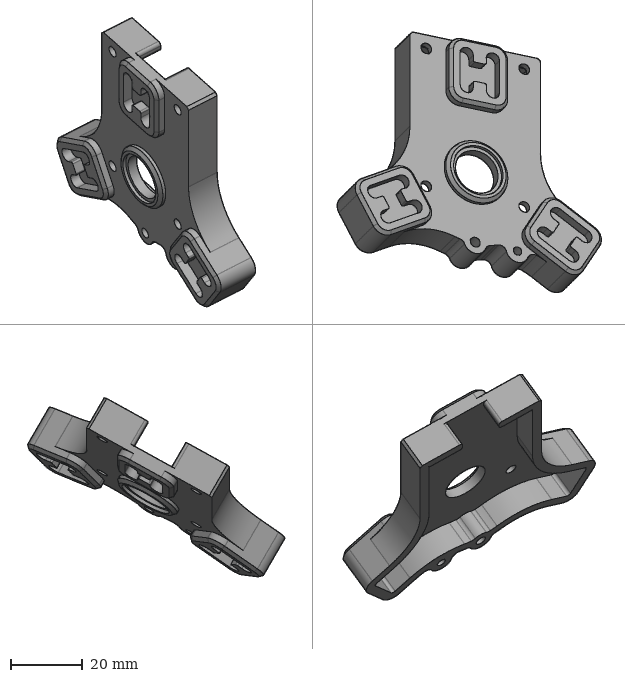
import math

import cadquery as cq

BODY_DEPTH = 10.0
HALF_WIDTH = 20.0
TOP_Z = 40.0
TOP_CHAMFER = 0.8
HUB_RADIUS = 22.0
OUTLINE_BLEND = 20.0

PAD_WIDTH = 18.0
PAD_LENGTH = 20.0
PAD_HEIGHT = 3.0
PAD_CORNER = 4.0
PAD_CHAMFER = 1.0
PAD_CENTRE = TOP_Z - PAD_LENGTH / 2
ARM_ANGLES = (120, -120)
PAD_ANGLES = (0,) + ARM_ANGLES

SLOT_WIDTH = 4.0
SLOT_LENGTH = 14.0
SLOT_OFFSET = SLOT_WIDTH
CROSSBAR_HEIGHT = 6.0
RECESS_CORNER = 0.5
RECESS_DEPTH = PAD_HEIGHT

RING_DIAMETER = 19.0
RING_HEIGHT = 2.0
RING_CHAMFER = 1.0
SEAT_DIAMETER = 15.1
SEAT_DEPTH = 1.0
BORE_DIAMETER = 13.0

SCREW_DIAMETER = 3.2
SCREW_X = 15.0
SCREW_UPPER_Z = 35.75
SCREW_PITCH_Z = 43.0
LOBE_RADIUS = 3.5
LOBE_Z = -21.5
LOBE_HOLES = ((0.0, 3.0), (12.95, 2.53))
LOBE_BLEND = 2.0

WALL = 3.0
FLOOR = 2.0
CAVITY_BLEND = 2.0
GAP_WIDTH = 12.0
GAP_ROUND = 1.0

SCREW_POINTS = [
    (x, z)
    for x in (-SCREW_X, SCREW_X)
    for z in (SCREW_UPPER_Z, SCREW_UPPER_Z - SCREW_PITCH_Z)
]


def plane_at(y):
    """Sketch plane parallel to XZ at the given Y; negative extrusion runs toward +Y."""
    return cq.Workplane("XZ", origin=(0, y, 0))


def block(x0, x1, z0, z1, y0, y1):
    """Box between the given limits."""
    size = (x1 - x0, y1 - y0, z1 - z0)
    return cq.Workplane("XY").box(*size, centered=False).translate((x0, y0, z0))


def cylinder(x, z, radius, y0, y1):
    """Cylinder along Y."""
    return plane_at(y0).center(x, z).circle(radius).extrude(y0 - y1)


def turned(shape, angle):
    """Shape turned about the bore axis."""
    return shape.rotate((0, 0, 0), (0, 1, 0), angle)


def near(x, z, reach):
    """Selects edges whose centre lies within reach of a point, at any depth."""
    low = (x - reach, -BODY_DEPTH, z - reach)
    high = (x + reach, 2 * BODY_DEPTH, z + reach)
    return cq.selectors.BoxSelector(low, high)


def make_arm(angle, inset, y0):
    """Arm from the bore axis out to the outer end of a pad."""
    half = PAD_WIDTH / 2 - inset
    arm = block(-half, half, 0, TOP_Z - inset, y0, BODY_DEPTH)
    arm = arm.edges("|Y and >Z").fillet(PAD_CORNER - inset)
    return turned(arm, angle)


def make_outline(inset, y0):
    """Upper plate, hub, two arms and the blends between them, from Y = y0 to the back.

    The whole outline is drawn in by the inset, with concentric blends.
    """
    half_plate = HALF_WIDTH - inset
    half_arm = PAD_WIDTH / 2 - inset
    hub_radius = HUB_RADIUS - inset
    tilt = math.radians(ARM_ANGLES[0] - 90)
    flare_z = half_arm / math.cos(tilt) - half_plate * math.tan(tilt)
    hub_reach = math.sqrt(hub_radius**2 - half_arm**2)
    hub_x = hub_reach * math.cos(tilt) - half_arm * math.sin(tilt)
    hub_z = -hub_reach * math.sin(tilt) - half_arm * math.cos(tilt)
    split_z = -half_plate * math.tan(tilt)

    outline = block(-half_plate, half_plate, split_z, TOP_Z - inset, y0, BODY_DEPTH)
    hub = cylinder(0, 0, hub_radius, y0, BODY_DEPTH)
    below = block(-hub_radius, hub_radius, -hub_radius, split_z, y0, BODY_DEPTH)
    outline = outline.union(hub.intersect(below))
    for angle in ARM_ANGLES:
        outline = outline.union(make_arm(angle, inset, y0))
    outline = outline.clean()
    for side in (-1, 1):
        for x, z in ((half_plate, flare_z), (hub_x, hub_z)):
            corner = near(side * x, z, 1)
            outline = outline.edges("|Y").edges(corner).fillet(OUTLINE_BLEND + inset)
    return outline


def make_body():
    """Solid body with the upper corners cut off."""
    body = make_outline(0, 0)
    return body.edges("|Y and >Z").chamfer(TOP_CHAMFER)


def add_lobes(body):
    """Rounded screw lobes on the lower edge, blended into it."""
    for x, _ in LOBE_HOLES:
        body = body.union(cylinder(x, LOBE_Z, LOBE_RADIUS, 0, BODY_DEPTH))
        root = near(x, LOBE_Z, LOBE_RADIUS + 0.1)
        body = body.edges("|Y").edges(root).fillet(LOBE_BLEND)
    return body


def make_cavity():
    """Space behind the plate, leaving the walls and a boss round the middle lobe hole."""
    cavity = make_outline(WALL, FLOOR)
    boss_x = LOBE_HOLES[0][0]
    cavity = cavity.cut(cylinder(boss_x, LOBE_Z, LOBE_RADIUS, FLOOR, BODY_DEPTH))
    root = near(boss_x, LOBE_Z, LOBE_RADIUS + 1)
    return cavity.edges("|Y").edges(root).fillet(CAVITY_BLEND)


def cut_top_gap(body):
    """Gap in the top wall with rounded wall ends."""
    half = GAP_WIDTH / 2
    body = body.cut(block(-half, half, TOP_Z - WALL, TOP_Z, FLOOR, BODY_DEPTH))
    for side in (-1, 1):
        for z in (TOP_Z, TOP_Z - WALL):
            body = body.edges("|Y").edges(near(side * half, z, 0.1)).fillet(GAP_ROUND)
    return body


def make_pad(angle):
    """Raised pad with rounded corners and a chamfered front edge."""
    pad = plane_at(0).center(0, PAD_CENTRE).rect(PAD_WIDTH, PAD_LENGTH).extrude(PAD_HEIGHT)
    pad = pad.edges("|Y").fillet(PAD_CORNER)
    pad = pad.faces("<Y").edges().chamfer(PAD_CHAMFER)
    return turned(pad, angle)


def make_recess(angle):
    """H-shaped cutter: two round-ended slots joined by a crossbar."""
    sketch = plane_at(-PAD_HEIGHT).center(0, PAD_CENTRE)
    slots = sketch.pushPoints([(-SLOT_OFFSET, 0), (SLOT_OFFSET, 0)])
    slots = slots.slot2D(SLOT_LENGTH, SLOT_WIDTH, 90).extrude(-RECESS_DEPTH)
    crossbar = sketch.rect(2 * SLOT_OFFSET, CROSSBAR_HEIGHT).extrude(-RECESS_DEPTH)
    recess = slots.union(crossbar)
    inner_corners = near(0, PAD_CENTRE, CROSSBAR_HEIGHT / 2 + 0.1)
    recess = recess.edges("|Y").edges(inner_corners).fillet(RECESS_CORNER)
    return turned(recess, angle)


def add_ring(body):
    """Chamfered ring round the bore, with a shallow seat in its front face."""
    ring = cylinder(0, 0, RING_DIAMETER / 2, -RING_HEIGHT, 0)
    ring = ring.faces("<Y").edges().chamfer(RING_CHAMFER)
    body = body.union(ring)
    seat_floor = SEAT_DEPTH - RING_HEIGHT
    body = body.cut(cylinder(0, 0, SEAT_DIAMETER / 2, -RING_HEIGHT, seat_floor))
    return body.cut(cylinder(0, 0, BORE_DIAMETER / 2, seat_floor, BODY_DEPTH))


def drill_holes(body):
    """Screw holes through the plate floor and through the full depth of the lobes."""
    for x, z in SCREW_POINTS:
        body = body.cut(cylinder(x, z, SCREW_DIAMETER / 2, 0, FLOOR))
    for x, diameter in LOBE_HOLES:
        body = body.cut(cylinder(x, LOBE_Z, diameter / 2, 0, BODY_DEPTH))
    return body


part = add_lobes(make_body())
part = cut_top_gap(part.cut(make_cavity()))
for pad_angle in PAD_ANGLES:
    part = part.union(make_pad(pad_angle)).cut(make_recess(pad_angle))
result = drill_holes(add_ring(part))